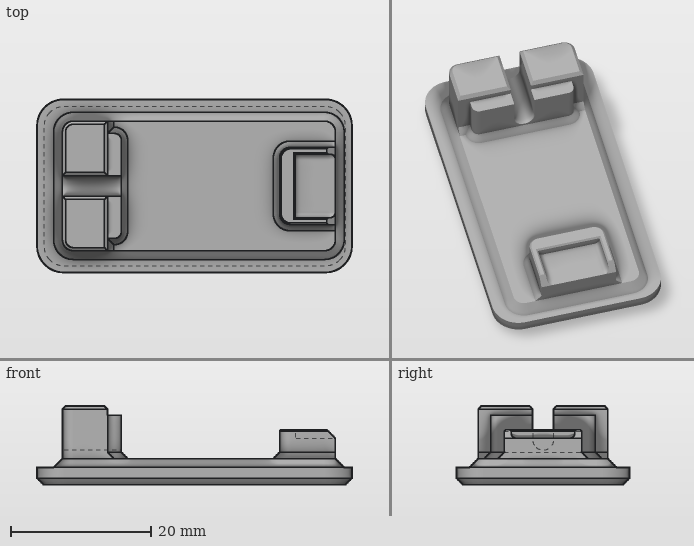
import cadquery as cq

length = 45.0
width = 24.75
flange_top = 2.5
flange_radius = 3.82
flange_chamfer = 1.0

deck_left = -18.85
deck_right = 20.1
deck_width = 18.5
deck_top = 3.8
deck_radius = 1.55
deck_slope = deck_top - flange_top

foot = 0.9

tall_right = -12.4
tall_top = 11.3
tall_chamfer = 0.45
slot_width = 2.95
slot_bottom = 5.0

ledge_right = -10.45
ledge_width = 15.0
ledge_top = 10.0
ledge_radius = 1.0

low_left = 12.15
low_width = 11.02
low_top = 7.9
low_radius = 1.55
low_chamfer = 0.22
nose_chamfer = 1.25
tray_left = 14.4
tray_width = 9.1
tray_depth = 1.25
tray_radius = 0.75
tray_chamfer = 0.22

overrun = 2.25


def block(left, right, depth, bottom, top):
    """Box given by its X and Z limits, centred on Y = 0."""
    box = cq.Workplane("XY").box(right - left, depth, top - bottom, centered=(False, True, False))
    return box.translate((left, 0, bottom))


def sloped_slab(left, right, depth, radius, bottom, height):
    """Rounded slab with 45 degree sides, its plan size and radius taken at the top.

    A straight skirt below `bottom` sinks into the body underneath.
    """
    skirt_bottom = bottom - height
    slab = block(left - height, right + height, depth + 2 * height, skirt_bottom, bottom + height)
    slab = slab.edges("|Z").fillet(radius + height)
    return slab.faces(">Z").chamfer(height)


def flange():
    plate = block(-length / 2, length / 2, width, 0, flange_top)
    plate = plate.edges("|Z").fillet(flange_radius)
    return plate.faces("<Z").chamfer(flange_chamfer)


def deck():
    return sloped_slab(deck_left, deck_right, deck_width, deck_radius, flange_top, deck_slope)


def slot(right, top):
    """Round-bottomed channel along X, from the -X side of the deck to `right`."""
    radius = slot_width / 2
    axis_height = slot_bottom + radius
    channel = block(deck_left - overrun, right, slot_width, axis_height, top)
    bottom = (
        cq.Workplane("YZ", origin=(deck_left - overrun, 0, axis_height))
        .circle(radius)
        .extrude(right - deck_left + overrun)
    )
    return channel.union(bottom)


def tall_block():
    body = block(deck_left, tall_right, deck_width, flange_top, tall_top)
    body = body.edges("|Z and <X").fillet(deck_radius)
    body = body.cut(slot(tall_right + overrun, tall_top + overrun))
    body = body.faces(">Z").chamfer(tall_chamfer)
    toe = (
        cq.Workplane("XZ", origin=(0, deck_width / 2, 0))
        .moveTo(tall_right, deck_top)
        .lineTo(tall_right + foot, deck_top)
        .lineTo(tall_right, deck_top + foot)
        .close()
        .extrude(deck_width)
    )
    return body.union(toe)


def ledge():
    start = tall_right - overrun
    body = block(start, ledge_right, ledge_width, flange_top, ledge_top)
    body = body.edges("|Z and >X").fillet(ledge_radius)
    toe = sloped_slab(start, ledge_right, ledge_width, ledge_radius, deck_top, foot)
    return body.union(toe).cut(slot(ledge_right + overrun, ledge_top + overrun))


def tray():
    """Pocket with rounded floor edges and a chamfered rim, open toward +X."""
    floor = low_top - tray_depth
    pocket = block(tray_left, deck_right + overrun, tray_width, floor, low_top)
    pocket = pocket.edges("|X and <Z").fillet(tray_radius)
    rim_left = tray_left - tray_chamfer
    rim_length = deck_right + overrun - rim_left
    rim = (
        cq.Workplane("XY", origin=(rim_left + rim_length / 2, 0, low_top))
        .rect(rim_length, tray_width + 2 * tray_chamfer)
        .extrude(-tray_chamfer, taper=45)
    )
    return pocket.union(rim)


def low_block():
    body = block(low_left, deck_right, low_width, flange_top, low_top)
    body = body.edges("|Z and <X").fillet(low_radius)
    body = body.faces(">Z").edges("not >X").chamfer(low_chamfer)
    body = body.edges(">X and >Z").chamfer(nose_chamfer)
    toe = sloped_slab(low_left, deck_right + overrun, low_width, low_radius, deck_top, foot)
    toe = toe.intersect(block(low_left - foot, deck_right, width, deck_top, low_top))
    return body.union(toe).cut(tray())


result = flange().union(deck()).union(tall_block()).union(ledge()).union(low_block())